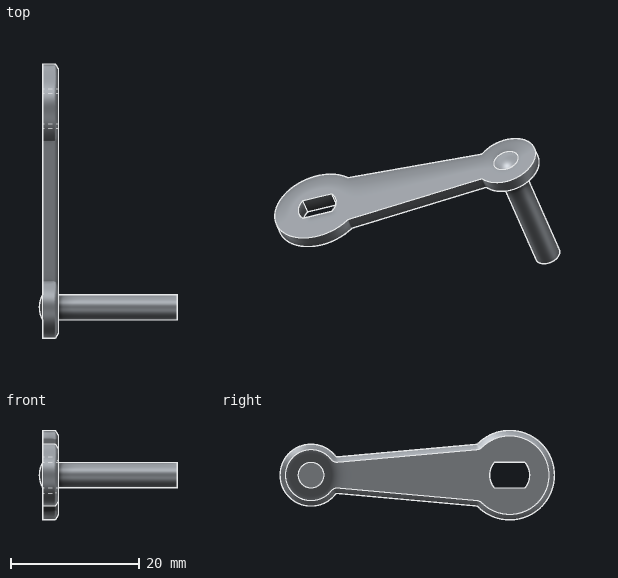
import cadquery as cq
import math

plate_thickness = 2.5
hub_radius = 7.0
knob_radius = 4.85
center_distance = 31.0
arm_half_width_at_hub = 5.3
arm_half_width_at_knob = 2.5
neck_fillet_radius = 0.3

bevel_depth = 0.5
bevel_angle = math.radians(60)
bevel_width = bevel_depth * math.tan(bevel_angle)
bevel_fillet_radius = 0.35

opening_diameter = 6.2
opening_flat_height = 4.0

pin_diameter = 4.0
pin_length = 18.5
head_height = 0.55

pin_y = -center_distance


def disc(radius, y, thickness):
    """Disc along +X from X = 0, centred at the given Y."""
    return cq.Workplane("YZ").center(y, 0).circle(radius).extrude(thickness)


def make_plate():
    arm = (
        cq.Workplane("YZ")
        .moveTo(0, arm_half_width_at_hub)
        .lineTo(pin_y, arm_half_width_at_knob)
        .lineTo(pin_y, -arm_half_width_at_knob)
        .lineTo(0, -arm_half_width_at_hub)
        .close()
        .extrude(plate_thickness)
    )
    hub = disc(hub_radius, 0, plate_thickness)
    knob = disc(knob_radius, pin_y, plate_thickness)
    plate = arm.union(hub).union(knob)
    neck_corners = cq.selectors.BoxSelector(
        (0, pin_y, -hub_radius),
        (plate_thickness, 0, hub_radius),
    )
    return plate.edges("|X").edges(neck_corners).fillet(neck_fillet_radius)


def bevel_plate(plate):
    bevelled = plate.faces(">X").edges().chamfer(bevel_depth, bevel_width)
    bevel_start = plate_thickness - bevel_depth
    outline_margin = hub_radius
    slab_half_thickness = bevel_depth / 4
    outer_edges = cq.selectors.BoxSelector(
        (bevel_start - slab_half_thickness, pin_y - outline_margin, -outline_margin),
        (bevel_start + slab_half_thickness, outline_margin, outline_margin),
    )
    return bevelled.edges(outer_edges).fillet(bevel_fillet_radius)


def cut_opening(plate):
    flats = cq.Workplane("YZ").rect(opening_diameter, opening_flat_height).extrude(plate_thickness)
    return plate.cut(disc(opening_diameter / 2, 0, plate_thickness).intersect(flats))


def make_pin():
    pin_radius = pin_diameter / 2
    pin_end = plate_thickness + pin_length
    dome_radius = (pin_radius**2 + head_height**2) / (2 * head_height)
    dome_mid_angle = math.asin(pin_radius / dome_radius) / 2
    dome_center_x = dome_radius - head_height
    dome_mid = (
        dome_center_x - dome_radius * math.cos(dome_mid_angle),
        dome_radius * math.sin(dome_mid_angle),
    )
    return (
        cq.Workplane("XY")
        .moveTo(-head_height, 0)
        .threePointArc(dome_mid, (0, pin_radius))
        .lineTo(pin_end, pin_radius)
        .lineTo(pin_end, 0)
        .close()
        .revolve(360, (0, 0, 0), (1, 0, 0))
        .translate((0, pin_y, 0))
    )


plate = bevel_plate(make_plate())
result = cut_opening(plate).union(make_pin())